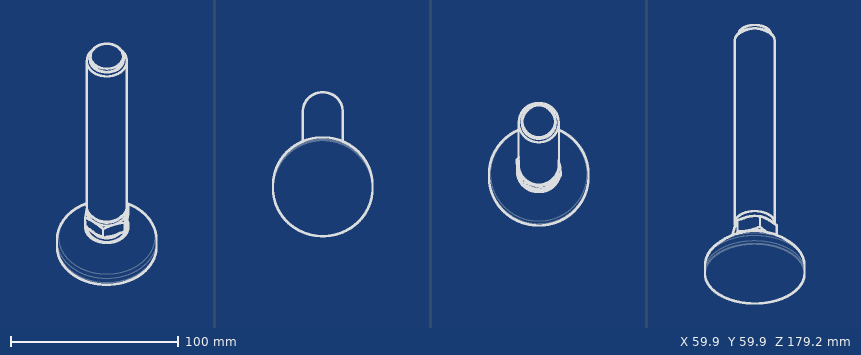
import cadquery as cq
import math

total_height = 179.2
foot_radius = 59.9 / 2

pad_height = 2.3
foot_wall_top = 6.3
shoulder_height = 9.0
shoulder_radius = 28.9
dome_top = 19.2
dome_top_radius = 13.0
dome_bulge = 1.8
recess_radius = 12.0
recess_depth = 0.4
recess_floor = dome_top - recess_depth
shoulder_bulge = 0.2
pad_edge_radius = 0.4

neck_radius = 14.3 / 2
neck_flare_top = 22.4
flare_base_radius = 18.3 / 2
flare_sag = 0.4

hex_across_flats = 24.0
hex_bottom = 24.0
hex_top = 34.2
hex_chamfer_angle = 30

stud_radius = 24.0 / 2
relief_radius = 19.5 / 2
relief_top = 36.2
stud_bottom = 38.0
stud_top = 174.7
pilot_radius = 19.5 / 2
pilot_bottom = 176.3
pilot_ledge_radius = 10.2


def bulged_point(start, end, bulge):
    """Middle of the chord from start to end, moved out to its left-hand side by bulge."""
    dx = end[0] - start[0]
    dz = end[1] - start[1]
    length = math.hypot(dx, dz)
    return (
        (start[0] + end[0]) / 2 - bulge * dz / length,
        (start[1] + end[1]) / 2 + bulge * dx / length,
    )


def make_foot():
    """Domed foot on a flat pad, with a shallow bevelled recess around the neck."""
    wall_top = (foot_radius, foot_wall_top)
    shoulder = (shoulder_radius, shoulder_height)
    dome_edge = (dome_top_radius, dome_top)
    dome = (
        cq.Workplane("XZ")
        .moveTo(0, pad_height)
        .lineTo(foot_radius, pad_height)
        .lineTo(*wall_top)
        .threePointArc(bulged_point(wall_top, shoulder, -shoulder_bulge), shoulder)
        .threePointArc(bulged_point(shoulder, dome_edge, -dome_bulge), dome_edge)
        .lineTo(recess_radius, recess_floor)
        .lineTo(0, recess_floor)
        .close()
        .revolve(360, (0, 0, 0), (0, 1, 0))
    )
    pad = cq.Workplane("XY").circle(foot_radius).extrude(pad_height)
    pad = pad.faces("<Z").edges().fillet(pad_edge_radius)
    return dome.union(pad, clean=False)


def make_stem():
    """Flared neck, relief, stud and pilot as one turned body."""
    flare_base = (flare_base_radius, recess_floor)
    flare_end = (neck_radius, neck_flare_top)
    return (
        cq.Workplane("XZ")
        .moveTo(0, recess_floor)
        .lineTo(*flare_base)
        .threePointArc(bulged_point(flare_base, flare_end, flare_sag), flare_end)
        .lineTo(neck_radius, hex_bottom)
        .lineTo(neck_radius, hex_top)
        .lineTo(relief_radius, hex_top)
        .lineTo(relief_radius, relief_top)
        .lineTo(stud_radius, stud_bottom)
        .lineTo(stud_radius, stud_top)
        .lineTo(pilot_ledge_radius, pilot_bottom)
        .lineTo(pilot_radius, pilot_bottom)
        .lineTo(pilot_radius, total_height)
        .lineTo(0, total_height)
        .close()
        .revolve(360, (0, 0, 0), (0, 1, 0))
    )


def make_hexagon():
    """Hexagon with corners on the X axis, its corners turned off at both ends."""
    corner_radius = hex_across_flats / math.sqrt(3)
    face_radius = hex_across_flats / 2
    chamfer_height = (corner_radius - face_radius) * math.tan(math.radians(hex_chamfer_angle))
    prism = (
        cq.Workplane("XY", origin=(0, 0, hex_bottom))
        .polygon(6, 2 * corner_radius)
        .extrude(hex_top - hex_bottom)
    )
    turned_envelope = (
        cq.Workplane("XZ")
        .moveTo(0, hex_bottom)
        .lineTo(face_radius, hex_bottom)
        .lineTo(corner_radius, hex_bottom + chamfer_height)
        .lineTo(corner_radius, hex_top - chamfer_height)
        .lineTo(face_radius, hex_top)
        .lineTo(0, hex_top)
        .close()
        .revolve(360, (0, 0, 0), (0, 1, 0))
    )
    return prism.intersect(turned_envelope)


result = make_foot().union(make_stem(), clean=False).union(make_hexagon(), clean=False)